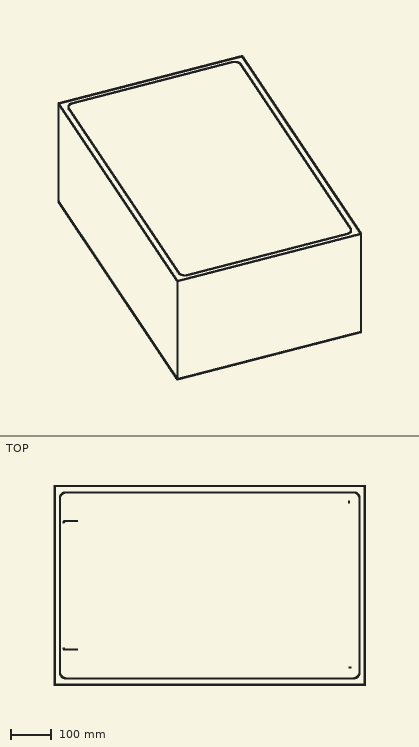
import cadquery as cq
import math

LENGTH = 762.0
WIDTH = 488.95
HEIGHT = 307.975

SIDE_WALL = 12.7
LONG_WALL = 15.875
FLOOR_THICKNESS = 6.35
DRAFT_ANGLE = 2.1
CORNER_RADIUS = 15.875
FLOOR_RADIUS = 15.0

FOOT_RADIUS = 50.8
FOOT_AXIS_X = -369.0
FOOT_INNER_Y = 157.5
FOOT_END_RADIUS = 7.9
FOOT_BASE_RADIUS = 2.5

LEDGE_LENGTH = 129.0
LEDGE_TOE_X = 336.7
LEDGE_ANGLE = 47.0
LEDGE_RADIUS = 7.5

TOLERANCE = 0.01

BASIN_DEPTH = HEIGHT - FLOOR_THICKNESS


def make_basin():
    """Solid with the shape of the empty space inside the sink."""
    basin = (
        cq.Workplane("XY")
        .workplane(offset=HEIGHT)
        .rect(LENGTH - 2 * SIDE_WALL, WIDTH - 2 * LONG_WALL)
        .extrude(-BASIN_DEPTH, taper=DRAFT_ANGLE)
    )
    basin = basin.edges("not(#Z)").fillet(CORNER_RADIUS)
    return basin.faces("<Z").edges().fillet(FLOOR_RADIUS)


def cut_with_blend(space, block, radius):
    """Take a block out of the basin space and round every edge where the two surfaces meet."""
    remaining = space.cut(block)
    space_shell = space.val().Shells()[0]
    block_shell = block.val().Shells()[0]
    seam = []
    for edge in remaining.edges().vals():
        middle = cq.Vertex.makeVertex(*edge.positionAt(0.5).toTuple())
        on_space = space_shell.distance(middle) < TOLERANCE
        on_block = block_shell.distance(middle) < TOLERANCE
        if on_space and on_block:
            seam.append(edge)
    return remaining.newObject(seam).fillet(radius)


def make_foot():
    """Foot in the +Y corner, running past the walls it leans on."""
    foot = (
        cq.Workplane("XZ", origin=(FOOT_AXIS_X, WIDTH / 2, FLOOR_THICKNESS))
        .circle(FOOT_RADIUS)
        .extrude(WIDTH / 2 - FOOT_INNER_Y)
    )
    return foot.faces("<Y").edges().fillet(FOOT_END_RADIUS)


def make_ledge():
    """Ledge whose top slopes down from the +X wall, running below the floor and past the wall."""
    slope = math.tan(math.radians(LEDGE_ANGLE))
    buried_run = FLOOR_THICKNESS / slope
    run = LENGTH / 2 - LEDGE_TOE_X + buried_run
    ledge = (
        cq.Workplane("XZ", origin=(LENGTH / 2, LEDGE_LENGTH / 2, 0))
        .polyline([(-run, 0), (0, run * slope), (0, 0)])
        .close()
        .extrude(LEDGE_LENGTH)
    )
    end_edges = ledge.faces("not(|X or |Y or |Z)").edges("not(|Y)")
    return ledge.newObject(end_edges.vals()).fillet(LEDGE_RADIUS)


block = cq.Workplane("XY").box(LENGTH, WIDTH, HEIGHT, centered=(True, True, False))
back_foot = make_foot()
space = make_basin()
space = cut_with_blend(space, back_foot, FOOT_BASE_RADIUS)
space = cut_with_blend(space, back_foot.mirror("XZ"), FOOT_BASE_RADIUS)
space = cut_with_blend(space, make_ledge(), LEDGE_RADIUS)
result = block.cut(space)